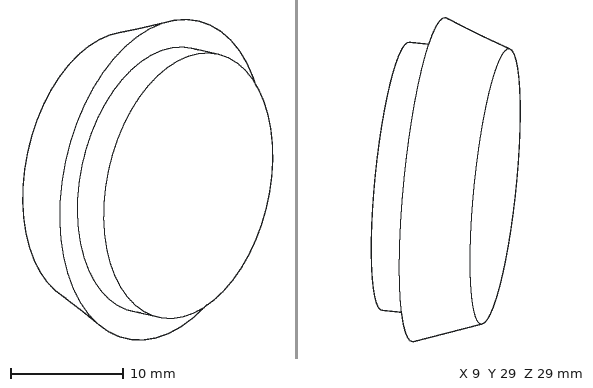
import cadquery as cq
import math

rim_diameter = 29.0
head_length = 6.0
head_taper_angle = 20.0
spigot_diameter = 24.0
spigot_length = 3.0

rim_radius = rim_diameter / 2
face_radius = rim_radius - head_length * math.tan(math.radians(head_taper_angle))
spigot_radius = spigot_diameter / 2
total_length = head_length + spigot_length


def turned_body():
    """Revolve the half profile: a conical head, widest at the shoulder, then a plain spigot."""
    half_profile = (
        cq.Workplane("XZ")
        .moveTo(0, 0)
        .lineTo(0, face_radius)
        .lineTo(head_length, rim_radius)
        .lineTo(head_length, spigot_radius)
        .lineTo(total_length, spigot_radius)
        .lineTo(total_length, 0)
        .close()
    )
    return half_profile.revolve(360, (0, 0, 0), (1, 0, 0))


result = turned_body()